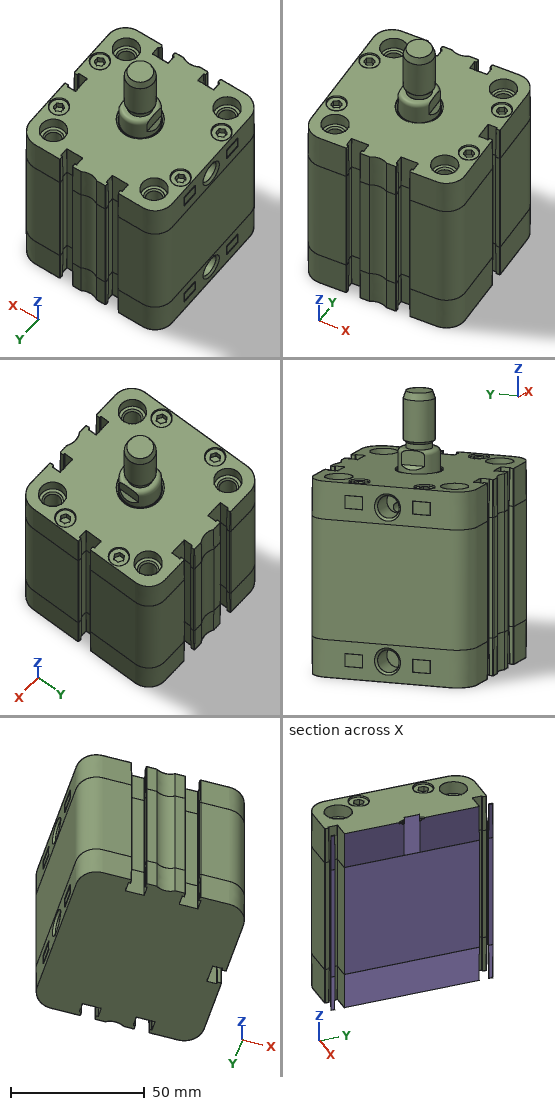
import cadquery as cq
import math

WIDTH = 65.5
CORNER_RADIUS = 8.0
TOTAL_HEIGHT = 105.0
HOUSING_HEIGHT = 75.0
CAP_HEIGHT = 14.5
HEAD_Z = HOUSING_HEIGHT - CAP_HEIGHT
HALF = WIDTH / 2
CAP_DRAFT = 0.5
SLAB_THICKNESS = 1.0

SLOT_OFFSET = 10.5
SLOT_NECK_WIDTH = 5.5
SLOT_WIDTH = 7.0
SLOT_DEPTH = 5.5
SLOT_LIP = 1.9
SLOT_MOUTH_BEVEL = 0.3

FLUTE_HALF_WIDTH = 3.6
FLUTE_DEPTH = 1.0

MOUNT_OFFSET = 23.2
MOUNT_BORE_DIA = 10.5
MOUNT_BORE_DEPTH = 5.0
MOUNT_THREAD_DIA = 8.0
MOUNT_CORE_DIA = 6.6

SCREW_X = 28.0
SCREW_Y = 13.0
SCREW_RIM_DIA = 8.0
SCREW_HEAD_DIA = 7.5
SCREW_RECESS = 0.5
SCREW_HEX_FLATS = 3.7
SCREW_HEX_DEPTH = 2.5

PORT_DIA = 8.6
PORT_RIM_DIA = 10.5
PORT_DEPTH = 10.5
PORT_INSET = 8.0
DUCT_DIA = 3.5
DUCT_DROP = 2.1
DUCT_DEPTH = 5.2

LABEL_OFFSET = 13.5
LABEL_WIDTH = 7.0
LABEL_HEIGHT = 4.9
LABEL_DEPTH = 0.3

ROD_DIA = 16.0
ROD_FLATS = 13.0
ROD_FLATS_Z = 77.6
ROD_SHOULDER_Z = 83.3
ROD_SHOULDER_ROUND = 1.7
NECK_DIA = 10.0
NECK_TOP_Z = 85.4
THREAD_DIA = 12.0
THREAD_TIP_DIA = 10.0
THREAD_TIP_LENGTH = 2.7

WIPER_RIM_DIA = 18.0
WIPER_DIA = 17.7
WIPER_DEPTH = 0.5
CLEARANCE_DIA = 16.6
CLEARANCE_DEPTH = 1.0


def cone(low_dia, high_dia, height, z):
    """Upright cone frustum or cylinder on the Z axis, standing on height z."""
    return (
        cq.Workplane("XZ")
        .moveTo(0, z)
        .lineTo(low_dia / 2, z)
        .lineTo(high_dia / 2, z + height)
        .lineTo(0, z + height)
        .close()
        .revolve(360, (0, 0, 0), (0, 1, 0))
    )


def t_slot(offset):
    """Thin cutter for a T-slot open towards -Y, centred on x = offset."""
    mouth_half = SLOT_NECK_WIDTH / 2 + SLOT_MOUTH_BEVEL
    right_side = [
        (mouth_half, 0),
        (SLOT_NECK_WIDTH / 2, SLOT_MOUTH_BEVEL),
        (SLOT_NECK_WIDTH / 2, SLOT_LIP),
        (SLOT_WIDTH / 2, SLOT_LIP),
        (SLOT_WIDTH / 2, SLOT_DEPTH),
    ]
    left_side = [(-x, depth) for x, depth in reversed(right_side)]
    outline = [(offset + x, depth - HALF) for x, depth in right_side + left_side]
    return cq.Workplane("XY").polyline(outline).close().extrude(SLAB_THICKNESS)


def flute():
    """Thin cutter for the round flute on the -Y side."""
    radius = (FLUTE_HALF_WIDTH**2 + FLUTE_DEPTH**2) / (2 * FLUTE_DEPTH)
    return cq.Workplane("XY").center(0, -HALF + FLUTE_DEPTH - radius).circle(radius).extrude(SLAB_THICKNESS)


def profile_outline():
    """Closed outline shared by the barrel and both caps, at z = 0."""
    slab = cq.Workplane("XY").rect(WIDTH, WIDTH).extrude(SLAB_THICKNESS).edges("|Z").fillet(CORNER_RADIUS)
    for cutter in (t_slot(-SLOT_OFFSET), t_slot(SLOT_OFFSET), flute()):
        slab = slab.cut(cutter).cut(cutter.mirror("XZ"))
    slab = slab.cut(t_slot(0).rotate((0, 0, 0), (0, 0, 1), 90))
    return slab.faces("<Z").wires().val()


def cap_blank():
    """Drafted cap block, standing on its wide face at z = 0."""
    return cq.Workplane("XY").add(profile_outline()).toPending().extrude(CAP_HEIGHT, taper=CAP_DRAFT)


def port(z):
    """Air-port cutter with a chamfered mouth, entering from the -X side."""
    rim_depth = (PORT_RIM_DIA - PORT_DIA) / 2
    hole = cq.Workplane("XY").circle(PORT_DIA / 2).extrude(PORT_DEPTH)
    hole = hole.union(cone(PORT_RIM_DIA, PORT_DIA, rim_depth, 0))
    return hole.rotate((0, 0, 0), (0, 1, 0), 90).translate((-HALF, 0, z))


def mounting_hole():
    """Cutter for a counterbored, countersunk hole through the head cap."""
    bore_z = HOUSING_HEIGHT - MOUNT_BORE_DEPTH
    sink_depth = (MOUNT_THREAD_DIA - MOUNT_CORE_DIA) / 2
    bore = cq.Workplane("XY").workplane(offset=bore_z).circle(MOUNT_BORE_DIA / 2).extrude(MOUNT_BORE_DEPTH)
    sink = cone(MOUNT_CORE_DIA, MOUNT_THREAD_DIA, sink_depth, bore_z - sink_depth)
    core = cq.Workplane("XY").workplane(offset=HEAD_Z).circle(MOUNT_CORE_DIA / 2).extrude(bore_z - HEAD_Z)
    return bore.union(sink).union(core)


def screw_recess():
    """Cutter for a sunken screw head with a hexagon socket."""
    face_z = HOUSING_HEIGHT - SCREW_RECESS
    socket = (
        cq.Workplane("XY")
        .workplane(offset=face_z)
        .transformed(rotate=(0, 0, 30))
        .polygon(6, SCREW_HEX_FLATS / math.cos(math.pi / 6))
        .extrude(-SCREW_HEX_DEPTH)
    )
    return cone(SCREW_HEAD_DIA, SCREW_RIM_DIA, SCREW_RECESS, face_z).union(socket)


def label_panels(z):
    """Cutters for the two label panels beside the port at height z."""
    return (
        cq.Workplane("YZ")
        .workplane(offset=-HALF)
        .pushPoints([(-LABEL_OFFSET, z), (LABEL_OFFSET, z)])
        .rect(LABEL_WIDTH, LABEL_HEIGHT)
        .extrude(LABEL_DEPTH)
    )


def make_base_cap():
    cap = cap_blank().mirror("XY").translate((0, 0, CAP_HEIGHT))
    return cap.cut(port(PORT_INSET)).cut(label_panels(CAP_HEIGHT / 2))


def make_barrel():
    section = cq.Workplane("XY").add(profile_outline()).toPending()
    return section.extrude(HEAD_Z - CAP_HEIGHT).translate((0, 0, CAP_HEIGHT))


def make_head_cap():
    cap = cap_blank().translate((0, 0, HEAD_Z))
    for x_side in (-1, 1):
        for y_side in (-1, 1):
            cap = cap.cut(mounting_hole().translate((x_side * MOUNT_OFFSET, y_side * MOUNT_OFFSET, 0)))
            cap = cap.cut(screw_recess().translate((x_side * SCREW_X, y_side * SCREW_Y, 0)))

    port_z = HOUSING_HEIGHT - PORT_INSET
    duct = (
        cq.Workplane("YZ")
        .workplane(offset=-HALF)
        .center(0, port_z - DUCT_DROP)
        .circle(DUCT_DIA / 2)
        .extrude(PORT_DEPTH + DUCT_DEPTH)
    )
    cap = cap.cut(port(port_z)).cut(duct).cut(label_panels(HEAD_Z + CAP_HEIGHT / 2))

    rod_hole = cq.Workplane("XY").workplane(offset=HEAD_Z).circle(ROD_DIA / 2).extrude(CAP_HEIGHT)
    clearance = cone(CLEARANCE_DIA, CLEARANCE_DIA, CLEARANCE_DEPTH, HOUSING_HEIGHT - CLEARANCE_DEPTH)
    wiper = cone(WIPER_DIA, WIPER_RIM_DIA, WIPER_DEPTH, HOUSING_HEIGHT - WIPER_DEPTH)
    return cap.cut(rod_hole).cut(clearance).cut(wiper)


def make_rod():
    shank = cq.Workplane("XY").workplane(offset=HEAD_Z).circle(ROD_DIA / 2).extrude(ROD_SHOULDER_Z - HEAD_Z)
    shank = shank.faces(">Z").edges().fillet(ROD_SHOULDER_ROUND)

    flat_depth = (ROD_DIA - ROD_FLATS) / 2
    flat_cut = (
        cq.Workplane("XZ")
        .moveTo(ROD_FLATS / 2, ROD_SHOULDER_Z)
        .lineTo(ROD_FLATS / 2, ROD_FLATS_Z)
        .lineTo(ROD_DIA / 2, ROD_FLATS_Z - flat_depth)
        .lineTo(ROD_DIA / 2, ROD_SHOULDER_Z)
        .close()
        .extrude(ROD_DIA / 2, both=True)
    )
    shank = shank.cut(flat_cut).cut(flat_cut.mirror("YZ"))

    neck_length = NECK_TOP_Z - ROD_SHOULDER_Z
    neck = cone(NECK_DIA, NECK_DIA, neck_length, ROD_SHOULDER_Z)
    thread_start = (THREAD_DIA - NECK_DIA) / 2
    thread_z = NECK_TOP_Z + thread_start
    tip_z = TOTAL_HEIGHT - THREAD_TIP_LENGTH
    lead_in = cone(NECK_DIA, THREAD_DIA, thread_start, NECK_TOP_Z)
    thread = cone(THREAD_DIA, THREAD_DIA, tip_z - thread_z, thread_z)
    tip = cone(THREAD_DIA, THREAD_TIP_DIA, THREAD_TIP_LENGTH, tip_z)
    return shank.union(neck).union(lead_in).union(thread).union(tip)


base_cap = make_base_cap()
barrel = make_barrel()
head_cap = make_head_cap()
rod = make_rod()

result = cq.Compound.makeCompound([base_cap.val(), barrel.val(), head_cap.val(), rod.val()])